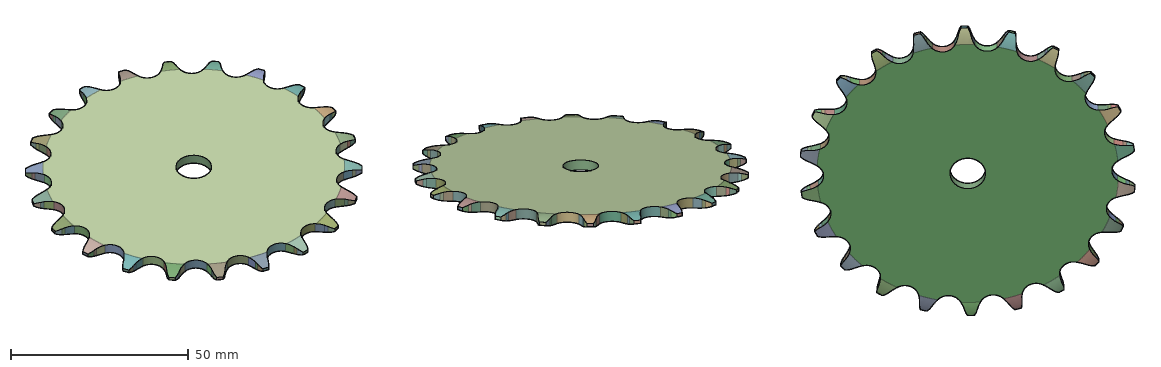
import cadquery as cq
from math import cos, hypot, pi, radians, sin, sqrt


TEETH = 22
PITCH = 12.7
ROLLER_DIAMETER = 7.75
TIP_DIAMETER = 95.0
THICKNESS = 3.0
BORE_DIAMETER = 10.0
TIP_EDGE_WIDTH = 1.0
BEVEL_RADIUS = PITCH
SEAT_ALLOWANCE = 0.0762

TOOTH_ANGLE = 360.0 / TEETH
PITCH_RADIUS = PITCH / (2 * sin(pi / TEETH))
TIP_RADIUS = TIP_DIAMETER / 2
HALF_THICKNESS = THICKNESS / 2
HALF_TIP_EDGE = TIP_EDGE_WIDTH / 2

SEAT_RADIUS = (1.005 * ROLLER_DIAMETER + SEAT_ALLOWANCE) / 2
SEAT_END_ANGLE = 35 + 60 / TEETH
WORKING_ARC_SPAN = 18 - 56 / TEETH
TIP_PRESSURE_ANGLE = 17 - 64 / TEETH
WORKING_CENTRE_OFFSET = 0.8 * ROLLER_DIAMETER
WORKING_RADIUS = SEAT_RADIUS + WORKING_CENTRE_OFFSET
TIP_CENTRE_OFFSET = 1.4 * ROLLER_DIAMETER
STRAIGHT_LENGTH = (TIP_CENTRE_OFFSET * sin(radians(TIP_PRESSURE_ANGLE))
                   - WORKING_CENTRE_OFFSET * sin(radians(WORKING_ARC_SPAN)))


def polar(centre, radius, degrees):
    """Point at the given radius and direction from a centre."""
    angle = radians(degrees)
    return (centre[0] + radius * cos(angle), centre[1] + radius * sin(angle))


def mirrored(point):
    """Point reflected across the gap's centre line."""
    return (-point[0], point[1])


def tooth_gap():
    """Cutter for the gap centred on +Y, open beyond the tooth tips."""
    pitch_point = (0, PITCH_RADIUS)

    seat_bottom = polar(pitch_point, SEAT_RADIUS, -90)
    seat_end = polar(pitch_point, SEAT_RADIUS, -SEAT_END_ANGLE)

    working_centre = polar(pitch_point, WORKING_CENTRE_OFFSET, 180 - SEAT_END_ANGLE)
    flank_normal = WORKING_ARC_SPAN - SEAT_END_ANGLE
    working_mid = polar(working_centre, WORKING_RADIUS, flank_normal - WORKING_ARC_SPAN / 2)
    working_end = polar(working_centre, WORKING_RADIUS, flank_normal)

    straight_end = polar(working_end, STRAIGHT_LENGTH, flank_normal + 90)

    topping_centre = polar(pitch_point, TIP_CENTRE_OFFSET, -TOOTH_ANGLE / 2)
    topping_radius = hypot(topping_centre[0] - straight_end[0], topping_centre[1] - straight_end[1])
    topping_start_angle = 180 + flank_normal
    apex_angle = 90 - TOOTH_ANGLE / 2
    topping_mid = polar(topping_centre, topping_radius, (topping_start_angle + apex_angle) / 2)
    apex = polar(topping_centre, topping_radius, apex_angle)

    return (
        cq.Workplane("XY", origin=(0, 0, -THICKNESS))
        .moveTo(*mirrored(seat_end))
        .threePointArc(seat_bottom, seat_end)
        .threePointArc(working_mid, working_end)
        .lineTo(*straight_end)
        .threePointArc(topping_mid, apex)
        .lineTo(*mirrored(apex))
        .threePointArc(mirrored(topping_mid), mirrored(straight_end))
        .lineTo(*mirrored(working_end))
        .threePointArc(mirrored(working_mid), mirrored(seat_end))
        .close()
        .extrude(2 * THICKNESS)
    )


def bevelled_blank():
    """Bored disc whose rim narrows along arcs tangent to the flat faces."""
    drop = HALF_THICKNESS - HALF_TIP_EDGE
    bevel_width = sqrt(BEVEL_RADIUS**2 - (BEVEL_RADIUS - drop) ** 2)
    face_radius = TIP_RADIUS - bevel_width
    bore_radius = BORE_DIAMETER / 2

    half_chord = hypot(bevel_width, drop) / 2
    sin_half_sweep = half_chord / BEVEL_RADIUS
    cos_half_sweep = sqrt(1 - sin_half_sweep**2)
    mid_radius = face_radius + BEVEL_RADIUS * sin_half_sweep
    mid_height = HALF_THICKNESS - BEVEL_RADIUS * (1 - cos_half_sweep)

    return (
        cq.Workplane("XZ")
        .moveTo(bore_radius, -HALF_THICKNESS)
        .lineTo(face_radius, -HALF_THICKNESS)
        .threePointArc((mid_radius, -mid_height), (TIP_RADIUS, -HALF_TIP_EDGE))
        .lineTo(TIP_RADIUS, HALF_TIP_EDGE)
        .threePointArc((mid_radius, mid_height), (face_radius, HALF_THICKNESS))
        .lineTo(bore_radius, HALF_THICKNESS)
        .close()
        .revolve(360, (0, 0, 0), (0, 1, 0))
    )


def sprocket():
    """Blank with one gap cut between each pair of teeth; one tooth lies on +X."""
    gap = tooth_gap()
    body = bevelled_blank()
    for index in range(TEETH):
        body = body.cut(gap.rotate((0, 0, 0), (0, 0, 1), index * TOOTH_ANGLE))
    return body


result = sprocket()